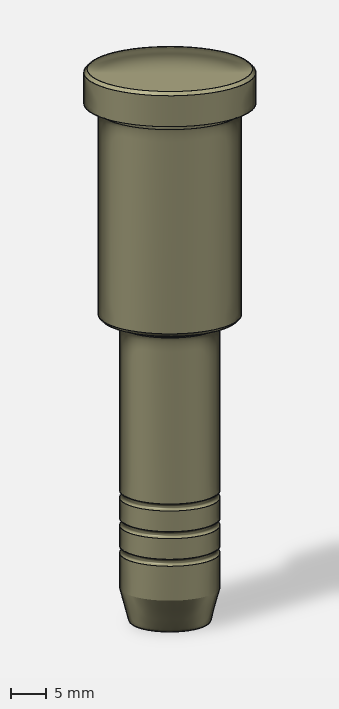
import cadquery as cq
import math

total_length = 80.0
head_diameter = 24.0
body_diameter = 20.0
shank_diameter = 14.0
neck_diameter = 13.0

head_height = 5.0
body_bottom_z = 44.0
neck_height = 1.0
tip_height = 5.0
tip_half_angle = 15.0

edge_chamfer = 0.5
tip_fillet = 0.5
groove_radius = 0.5
shank_groove_count = 3
lowest_groove_z = 10.5
groove_pitch = 4.0

head_bottom_z = total_length - head_height
shank_top_z = body_bottom_z - neck_height
tip_radius = shank_diameter / 2 - tip_height * math.tan(math.radians(tip_half_angle))


def cylinder(diameter, bottom_z, top_z):
    """Cylinder on the Z axis between two heights."""
    return cq.Workplane("XY").workplane(offset=bottom_z).circle(diameter / 2).extrude(top_z - bottom_z)


def ring_groove(diameter, center_z):
    """Torus that cuts a half-round groove around a cylinder."""
    return (
        cq.Workplane("XZ")
        .center(diameter / 2, center_z)
        .circle(groove_radius)
        .revolve(360, (-diameter / 2, 0), (-diameter / 2, 1))
    )


def make_head():
    head = cylinder(head_diameter, head_bottom_z, total_length)
    return head.faces(">Z").edges().chamfer(edge_chamfer)


def make_body():
    """Guide body with a chamfered lower end and a half-round relief below the head."""
    body = cylinder(body_diameter, body_bottom_z, head_bottom_z)
    body = body.faces("<Z").edges().chamfer(edge_chamfer)
    return body.cut(ring_groove(body_diameter, head_bottom_z - groove_radius))


def make_tip():
    """Tapered lead-in with a rounded lower edge."""
    tip = (
        cq.Workplane("XZ")
        .polyline([(0, 0), (tip_radius, 0), (shank_diameter / 2, tip_height), (0, tip_height)])
        .close()
        .revolve(360, (0, 0), (0, 1))
    )
    return tip.faces("<Z").edges().fillet(tip_fillet)


def make_shank():
    """Grooved shank with a tapered tip below."""
    shank = cylinder(shank_diameter, tip_height, shank_top_z)
    for index in range(shank_groove_count):
        groove_z = lowest_groove_z + index * groove_pitch
        shank = shank.cut(ring_groove(shank_diameter, groove_z))
    return shank.union(make_tip())


neck = cylinder(neck_diameter, shank_top_z, body_bottom_z)
result = make_head().union(make_body()).union(neck).union(make_shank())